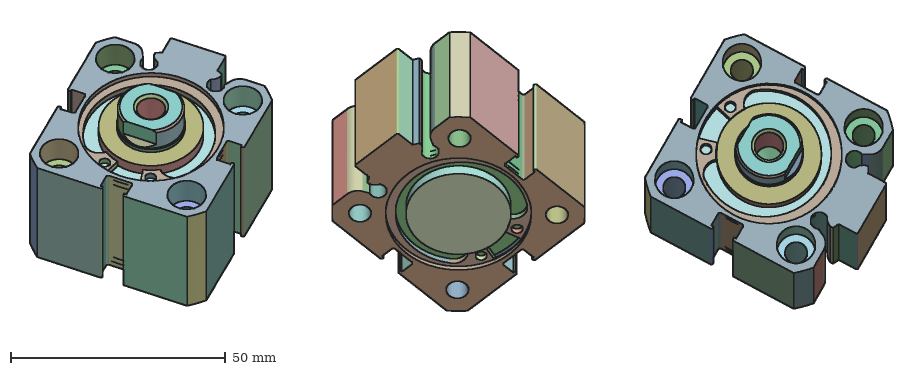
import cadquery as cq
import math


housing_width = 45.0
housing_height = 31.0
overall_height = 38.0
half_width = housing_width / 2
tower_top = 27.5

corner_arc_radius = 29.5
shoulder_radius = 3.5
shoulder_center_x = 14.3
shoulder_end_angle = 153.0
channel_radius = 2.05
channel_x = 8.5
channel_y = 18.15
channel_entry_angle = 25.0
channel_exit_angle = 147.0
ear_x = 8.5
ear_low_y = 21.05
ear_high_y = 21.8
neck_point = (7.8, 20.0)
tower_half_width = 7.05
tower_fillet = 0.4

slot_floor = 18.0
slot_half_width = 3.3
slot_mouth_half_width = 2.7
slot_lip = 0.8
slot_floor_fillet = 0.5
slot_lip_fillet = 0.4

bolt_offset = 16.25
bolt_diameter = 5.2
counterbore_diameter = 9.0
counterbore_depth = 7.0

bore_radius = 17.0
ring_thickness = 1.6
ring_setback = 1.3
groove_wall = 0.15
groove_radius = slot_floor - groove_wall
ring_opening_radius = 15.45
ring_opening_shift = 1.05
scallop_radius = 3.4
scallop_angle = 36.5
lug_inner_radius = 12.45
gap_half_angle = 15.0
lug_hole_x = 5.85
lug_hole_y = -13.55
lug_hole_diameter = 2.6

cover_thickness = 8.0
boss_radius = 12.25
cover_recess = ring_setback + ring_thickness

rod_radius = 8.0
rod_head_radius = 7.8
rod_step_low = 32.0
rod_step_high = 32.25
rod_chamfer = 0.5
flat_offset = 6.55
flat_bottom = 33.5
thread_radius = 3.35
thread_mouth_radius = 4.05
thread_depth = 13.0
drill_cone_height = 2.0


def polar(radius, degrees, center=(0.0, 0.0)):
    """Point at a radius and angle about a center."""
    angle = math.radians(degrees)
    return (center[0] + radius * math.cos(angle), center[1] + radius * math.sin(angle))


def mirrored(point):
    """Point on the other side of the YZ plane."""
    return (-point[0], point[1])


def housing_blank():
    """Extruded housing outline without slots and holes."""
    corner = math.sqrt(corner_arc_radius**2 - half_width**2)
    shoulder_center = (shoulder_center_x, half_width - shoulder_radius)
    shoulder_middle_angle = (90 + shoulder_end_angle) / 2
    channel_center = (channel_x, channel_y)
    fillet_center = (tower_half_width - tower_fillet, tower_top - tower_fillet)
    return (
        cq.Workplane("XY")
        .moveTo(0, -half_width)
        .lineTo(corner, -half_width)
        .threePointArc(polar(corner_arc_radius, -45), (half_width, -corner))
        .lineTo(half_width, corner)
        .threePointArc(polar(corner_arc_radius, 45), (corner, half_width))
        .lineTo(shoulder_center_x, half_width)
        .threePointArc(
            polar(shoulder_radius, shoulder_middle_angle, shoulder_center),
            polar(shoulder_radius, shoulder_end_angle, shoulder_center),
        )
        .lineTo(*polar(channel_radius, channel_entry_angle, channel_center))
        .threePointArc(
            polar(channel_radius, -90, channel_center),
            polar(channel_radius, channel_exit_angle, channel_center),
        )
        .threePointArc(neck_point, (ear_x, ear_low_y))
        .lineTo(ear_x, ear_high_y)
        .lineTo(tower_half_width, half_width)
        .lineTo(tower_half_width, tower_top - tower_fillet)
        .threePointArc(
            polar(tower_fillet, 45, fillet_center),
            (tower_half_width - tower_fillet, tower_top),
        )
        .lineTo(0, tower_top)
        .mirrorY()
        .extrude(housing_height)
    )


def slot_cutter():
    """Lipped sensor slot along Z in the -Y side."""
    lip_y = slot_lip - half_width
    pocket = (
        cq.Workplane("XY")
        .moveTo(0, -(slot_floor + half_width - slot_lip) / 2)
        .rect(2 * slot_half_width, -lip_y - slot_floor)
        .extrude(housing_height)
        .edges("|Z and >Y")
        .fillet(slot_floor_fillet)
    )
    flare_half_width = slot_mouth_half_width + slot_lip_fillet
    flare_middle = slot_lip_fillet * (1 - math.sqrt(0.5))
    flare_y = slot_lip_fillet - half_width
    mouth = (
        cq.Workplane("XY")
        .moveTo(0, -half_width)
        .lineTo(flare_half_width, -half_width)
        .threePointArc(
            (slot_mouth_half_width + flare_middle, flare_middle - half_width),
            (slot_mouth_half_width, flare_y),
        )
        .lineTo(slot_mouth_half_width, lip_y)
        .lineTo(0, lip_y)
        .mirrorY()
        .extrude(housing_height)
    )
    return pocket.union(mouth)


def make_housing():
    """Housing with bore, ring grooves, bolt holes and sensor slots."""
    body = housing_blank()
    bore = cq.Workplane("XY").circle(bore_radius).extrude(housing_height)
    body = body.cut(bore)

    slot = slot_cutter()
    for turn in (-90, 0, 90):
        body = body.cut(slot.rotate((0, 0, 0), (0, 0, 1), turn))

    groove = cq.Workplane("XY").circle(groove_radius).extrude(ring_thickness)
    for groove_bottom in (ring_setback, housing_height - cover_recess):
        body = body.cut(groove.translate((0, 0, groove_bottom)))

    return (
        body.faces(">Z")
        .workplane(origin=(0, 0, housing_height))
        .rect(2 * bolt_offset, 2 * bolt_offset, forConstruction=True)
        .vertices()
        .cboreHole(bolt_diameter, counterbore_diameter, counterbore_depth)
    )


def make_ring(bottom):
    """Internal retaining ring with two drilled lugs and a gap at -Y."""
    opening_center = (0.0, -ring_opening_shift)
    scallop_center = polar(ring_opening_radius - scallop_radius, -scallop_angle, opening_center)
    scallop_start = polar(ring_opening_radius, -scallop_angle, opening_center)

    reach = math.hypot(*scallop_center)
    reach_angle = math.degrees(math.atan2(scallop_center[1], scallop_center[0]))
    cosine = (reach**2 + lug_inner_radius**2 - scallop_radius**2) / (2 * reach * lug_inner_radius)
    lug_angle = reach_angle - math.degrees(math.acos(cosine))
    gap_angle = gap_half_angle - 90

    gap_outer = polar(groove_radius, gap_angle)
    gap_inner = polar(lug_inner_radius, gap_angle)
    lug_middle = polar(lug_inner_radius, (gap_angle + lug_angle) / 2)
    lug_end = polar(lug_inner_radius, lug_angle)
    scallop_middle = polar(scallop_radius, -90, scallop_center)
    ring = (
        cq.Workplane("XY")
        .moveTo(*mirrored(gap_outer))
        .threePointArc((0, groove_radius), gap_outer)
        .lineTo(*gap_inner)
        .threePointArc(lug_middle, lug_end)
        .threePointArc(scallop_middle, scallop_start)
        .threePointArc((0, ring_opening_radius - ring_opening_shift), mirrored(scallop_start))
        .threePointArc(mirrored(scallop_middle), mirrored(lug_end))
        .threePointArc(mirrored(lug_middle), mirrored(gap_inner))
        .close()
        .extrude(ring_thickness)
    )
    lug_holes = (
        cq.Workplane("XY")
        .pushPoints([(-lug_hole_x, lug_hole_y), (lug_hole_x, lug_hole_y)])
        .circle(lug_hole_diameter / 2)
        .extrude(ring_thickness)
    )
    return ring.cut(lug_holes).translate((0, 0, bottom))


def make_back_cover():
    """Closed cover at the bottom end, held by the lower ring."""
    boss = cq.Workplane("XY").circle(boss_radius).extrude(cover_recess)
    return boss.faces(">Z").workplane().circle(bore_radius).extrude(cover_thickness)


def make_front_cover():
    """Cover at the rod end: the closed cover turned over, with the rod hole."""
    cover = make_back_cover().mirror("XY").translate((0, 0, housing_height))
    rod_hole = cq.Workplane("XY").circle(rod_radius).extrude(housing_height)
    return cover.cut(rod_hole)


def make_rod():
    """Rod with a stepped head, two wrench flats and a threaded end."""
    rod_bottom = cover_recess + cover_thickness
    rod = (
        cq.Workplane("XZ")
        .moveTo(0, rod_bottom)
        .lineTo(rod_radius, rod_bottom)
        .lineTo(rod_radius, rod_step_low)
        .lineTo(rod_head_radius, rod_step_high)
        .lineTo(rod_head_radius, overall_height - rod_chamfer)
        .lineTo(rod_head_radius - rod_chamfer, overall_height)
        .lineTo(0, overall_height)
        .close()
        .revolve(360, (0, 0), (0, 1))
    )
    ramp_run = rod_radius - flat_offset
    flat = (
        cq.Workplane("YZ")
        .moveTo(flat_offset, overall_height)
        .lineTo(flat_offset, flat_bottom)
        .lineTo(rod_radius, flat_bottom - ramp_run)
        .lineTo(rod_radius, overall_height)
        .close()
        .extrude(rod_radius, both=True)
    )
    countersink = thread_mouth_radius - thread_radius
    thread_bottom = overall_height - thread_depth
    thread = (
        cq.Workplane("XZ")
        .moveTo(0, overall_height)
        .lineTo(thread_mouth_radius, overall_height)
        .lineTo(thread_radius, overall_height - countersink)
        .lineTo(thread_radius, thread_bottom)
        .lineTo(0, thread_bottom - drill_cone_height)
        .close()
        .revolve(360, (0, 0), (0, 1))
    )
    return rod.cut(flat).cut(flat.mirror("XZ")).cut(thread)


housing = make_housing()
front_cover = make_front_cover()
back_cover = make_back_cover()
rod = make_rod()
rings = [make_ring(bottom) for bottom in (ring_setback, housing_height - cover_recess)]

result = cq.Compound.makeCompound(
    [
        housing.val(),
        front_cover.val(),
        back_cover.val(),
        rod.val(),
        *[ring.val() for ring in rings],
    ]
)